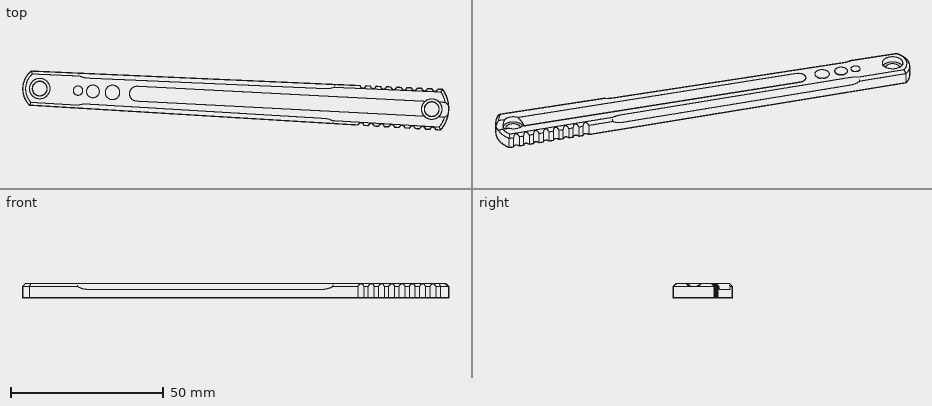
import cadquery as cq
import math

BAR_ANGLE = -3.0
THICKNESS = 4.8

HOLE_SPACING = 128.8
END_OVERHANG = 5.6
WIDTH_AT_NARROW_HOLE = 11.3
WIDTH_AT_WIDE_HOLE = 13.4
NARROW_CORNER_OFFSET = 3.1
WIDE_CORNER_OFFSET = 3.2

EDGE_CHAMFER = 1.0
DEEP_CHAMFER_HEIGHT = 2.0
DEEP_CHAMFER_WIDTH = 1.5
DEEP_START = 15.7
DEEP_END = 93.7
CONE_RADIUS = 5.6

HOLE_DIAMETER = 4.8
COUNTERBORE_DIAMETER = 6.7
COUNTERBORE_DEPTH = 2.1

DIMPLES = [(12.6, 3.1), (17.5, 4.2), (23.9, 4.8)]
DIMPLE_FLAT_RATIO = 0.3
DIMPLE_DEPTH_RATIO = 0.22
GROOVE_START = 29.5
GROOVE_WIDTH = 4.9
GROOVE_FLAT = 0.5
GROOVE_DEPTH = 1.1

NOTCH_COUNT = 8
NOTCH_ROW_LENGTH = 23.6
LAST_NOTCH_OFFSET = 0.7
NOTCH_WIDTH = 2.0
NOTCH_BOTTOM_WIDTH = 1.4
NOTCH_WALL_ANGLE = 58.0

NOTCH_PITCH = NOTCH_ROW_LENGTH / (NOTCH_COUNT - 1)
NARROW_TIP = -END_OVERHANG
WIDE_TIP = HOLE_SPACING + END_OVERHANG
SIDE_SLOPE = (WIDTH_AT_WIDE_HOLE - WIDTH_AT_NARROW_HOLE) / (2 * HOLE_SPACING)
SIDE_ANGLE = math.degrees(math.atan(SIDE_SLOPE))


def half_width(along):
    """Half width of the bar at a distance along its axis."""
    return WIDTH_AT_NARROW_HOLE / 2 + SIDE_SLOPE * along


def point_on_end_arc(corner, tip):
    """Point halfway round the arc centred on the axis, from a side corner to the tip."""
    sagitta = abs(tip - corner)
    chord_half = half_width(corner)
    radius = (chord_half**2 + sagitta**2) / (2 * sagitta)
    half_sweep = math.asin(chord_half / radius) / 2
    inward = math.copysign(1, corner - tip)
    return (tip + inward * radius * (1 - math.cos(half_sweep)), radius * math.sin(half_sweep))


def mirrored(solid):
    """The solid and its mirror image across the bar axis."""
    return solid.union(solid.mirror("XZ"))


def bar_blank():
    narrow_corner = -NARROW_CORNER_OFFSET
    wide_corner = HOLE_SPACING + WIDE_CORNER_OFFSET
    half_outline = (
        cq.Workplane("XY")
        .moveTo(NARROW_TIP, 0)
        .threePointArc(
            point_on_end_arc(narrow_corner, NARROW_TIP), (narrow_corner, half_width(narrow_corner))
        )
        .lineTo(wide_corner, half_width(wide_corner))
        .threePointArc(point_on_end_arc(wide_corner, WIDE_TIP), (WIDE_TIP, 0))
    )
    return half_outline.mirrorX().extrude(THICKNESS).faces(">Z").chamfer(EDGE_CHAMFER)


def deep_chamfer_cutter():
    """Cutter for one side: a long wedge with a cone tangent to it at each end."""
    length = (DEEP_END - DEEP_START) / math.cos(math.radians(SIDE_ANGLE))
    bottom = -DEEP_CHAMFER_HEIGHT
    section = [(CONE_RADIUS, bottom), (0, bottom), (-DEEP_CHAMFER_WIDTH, 0), (CONE_RADIUS, 0)]
    wedge = cq.Workplane("YZ").polyline(section).close().extrude(length)
    cone_section = [(0, bottom), (CONE_RADIUS, bottom), (CONE_RADIUS + DEEP_CHAMFER_WIDTH, 0), (0, 0)]
    cone = cq.Workplane("XZ").polyline(cone_section).close().revolve(360, (0, 0), (0, 1))
    cutter = wedge
    for end in (0, length):
        cutter = cutter.union(cone.translate((end, CONE_RADIUS, 0)))
    return cutter.rotate((0, 0, 0), (0, 0, 1), SIDE_ANGLE).translate(
        (DEEP_START, half_width(DEEP_START), THICKNESS)
    )


def notch_cutter():
    """One V notch with a round bottom tangent to its walls, opening toward +Y from Y = 0."""
    half_bottom = NOTCH_BOTTOM_WIDTH / 2
    wall_angle = math.radians(NOTCH_WALL_ANGLE)
    wall_run = (NOTCH_WIDTH - NOTCH_BOTTOM_WIDTH) / 2
    wall_depth = wall_run * math.tan(wall_angle)
    notch_depth = wall_depth + half_bottom * math.tan(wall_angle / 2)
    half_mouth = NOTCH_WIDTH / 2 + wall_run
    return (
        cq.Workplane("XY")
        .moveTo(-half_mouth, wall_depth)
        .lineTo(-half_bottom, -wall_depth)
        .threePointArc((0, -notch_depth), (half_bottom, -wall_depth))
        .lineTo(half_mouth, wall_depth)
        .close()
        .extrude(THICKNESS)
    )


def notch_cutters():
    notches = cq.Workplane("XY")
    for index in range(NOTCH_COUNT):
        along = HOLE_SPACING + LAST_NOTCH_OFFSET - index * NOTCH_PITCH
        notch = notch_cutter().rotate((0, 0, 0), (0, 0, 1), SIDE_ANGLE)
        notches = notches.union(notch.translate((along, half_width(along), 0)))
    return notches


def hollow_profile(width, flat, depth):
    """Half profile of a hollow: flat bottom, then an arc starting tangent to it, up to the top."""
    run = (width - flat) / 2
    radius = (run**2 + depth**2) / (2 * depth)
    half_sweep = math.asin(run / radius) / 2
    middle = (flat / 2 + radius * math.sin(half_sweep), radius * (1 - math.cos(half_sweep)) - depth)
    return (
        cq.Workplane("XZ")
        .moveTo(0, -depth)
        .lineTo(flat / 2, -depth)
        .threePointArc(middle, (width / 2, 0))
        .lineTo(0, 0)
        .close()
    )


def round_hollow(along, width, flat, depth):
    profile = hollow_profile(width, flat, depth)
    return profile.revolve(360, (0, 0), (0, 1)).translate((along, 0, THICKNESS))


def groove_cutter():
    """Long groove with a rounded start, running out through the wide end."""
    start = GROOVE_START + GROOVE_WIDTH / 2
    run_out = WIDE_TIP - start
    half = hollow_profile(GROOVE_WIDTH, GROOVE_FLAT, GROOVE_DEPTH).extrude(-run_out)
    trough = half.union(half.mirror("YZ")).rotate((0, 0, 0), (0, 0, 1), -90)
    return trough.translate((start, 0, THICKNESS)).union(
        round_hollow(start, GROOVE_WIDTH, GROOVE_FLAT, GROOVE_DEPTH)
    )


def screw_hole(along):
    hole = cq.Workplane("XY").circle(HOLE_DIAMETER / 2).extrude(THICKNESS)
    counterbore = (
        cq.Workplane("XY", origin=(0, 0, THICKNESS))
        .circle(COUNTERBORE_DIAMETER / 2)
        .extrude(-COUNTERBORE_DEPTH)
    )
    return hole.union(counterbore).translate((along, 0, 0))


bar = bar_blank()
bar = bar.cut(mirrored(deep_chamfer_cutter()))
bar = bar.cut(mirrored(notch_cutters()))
bar = bar.cut(groove_cutter())
for position, diameter in DIMPLES:
    flat = DIMPLE_FLAT_RATIO * diameter
    bar = bar.cut(round_hollow(position, diameter, flat, DIMPLE_DEPTH_RATIO * diameter))
for position in (0, HOLE_SPACING):
    bar = bar.cut(screw_hole(position))

result = bar.rotate((0, 0, 0), (0, 0, 1), BAR_ANGLE)